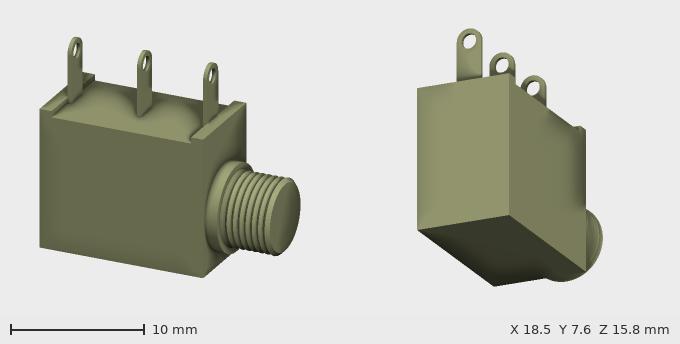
import cadquery as cq

TOTAL_LENGTH = 18.5
HOUSING_LENGTH = 13.5
HOUSING_WIDTH = 7.6
HOUSING_HEIGHT = 11.3
WALL = 1.0
RECESS_DEPTH = 0.5
DECK_Z = HOUSING_HEIGHT - RECESS_DEPTH
INNER_LENGTH = HOUSING_LENGTH - 2 * WALL

AXIS_Z = 4.38
COLLAR_RADIUS = 3.5
THREAD_RADIUS = 3.0
THREAD_DEPTH = 0.3
GROOVE_COUNT = 7
COLLAR_END_X = HOUSING_LENGTH + WALL

TAB_TOP_Z = 15.8
TAB_THICKNESS = 0.31
TAB_RADIUS = 1.0
TAB_HOLE_DIAMETER = 1.2
MIDDLE_TAB_X = 6.73
TAB_POSITIONS = [WALL, MIDDLE_TAB_X, HOUSING_LENGTH - WALL - TAB_THICKNESS]


def box_at(length, width, height, x, y, z):
    """Box given by its size and its lowest corner."""
    return cq.Workplane("XY").box(length, width, height, centered=False).translate((x, y, z))


def make_cover():
    """Flat plate closing the +Y side between the two end rims."""
    return box_at(INNER_LENGTH, WALL, DECK_Z, WALL, HOUSING_WIDTH / 2 - WALL, 0)


def make_bushing():
    """Collar and ring-grooved thread, revolved about the jack axis."""
    root_radius = THREAD_RADIUS - THREAD_DEPTH
    last_crest_x = TOTAL_LENGTH - THREAD_DEPTH
    first_root_x = COLLAR_END_X + THREAD_DEPTH
    last_root_x = last_crest_x - THREAD_DEPTH
    pitch = (last_root_x - first_root_x) / (GROOVE_COUNT - 1)
    inner_crest_radius = root_radius + pitch / 2

    profile = [
        (HOUSING_LENGTH, 0),
        (HOUSING_LENGTH, COLLAR_RADIUS),
        (COLLAR_END_X, COLLAR_RADIUS),
        (COLLAR_END_X, THREAD_RADIUS),
        (first_root_x, root_radius),
    ]
    for groove in range(1, GROOVE_COUNT):
        root_x = first_root_x + groove * pitch
        profile.append((root_x - pitch / 2, inner_crest_radius))
        profile.append((root_x, root_radius))
    profile += [
        (last_crest_x, THREAD_RADIUS),
        (TOTAL_LENGTH, root_radius),
        (TOTAL_LENGTH, 0),
    ]
    bushing = cq.Workplane("XZ").polyline(profile).close().revolve(360, (0, 0, 0), (1, 0, 0))
    return bushing.translate((0, 0, AXIS_Z))


def make_tab(x):
    """Upright solder tab with a round top and a concentric hole."""
    eye_z = TAB_TOP_Z - TAB_RADIUS
    tab = (
        cq.Workplane("YZ", origin=(x, 0, 0))
        .moveTo(-TAB_RADIUS, DECK_Z)
        .lineTo(TAB_RADIUS, DECK_Z)
        .lineTo(TAB_RADIUS, eye_z)
        .threePointArc((0, TAB_TOP_Z), (-TAB_RADIUS, eye_z))
        .close()
        .extrude(TAB_THICKNESS)
    )
    eye = (
        cq.Workplane("YZ", origin=(x, 0, eye_z))
        .circle(TAB_HOLE_DIAMETER / 2)
        .extrude(TAB_THICKNESS)
    )
    return tab.cut(eye)


def make_housing(cover):
    """Block with a recessed deck, a pocket for the cover, the bushing and the tabs."""
    front_y = -HOUSING_WIDTH / 2
    block = box_at(HOUSING_LENGTH, HOUSING_WIDTH, HOUSING_HEIGHT, 0, front_y, 0)
    recess = box_at(INNER_LENGTH, HOUSING_WIDTH, RECESS_DEPTH, WALL, front_y, DECK_Z)
    housing = block.cut(recess).cut(cover).union(make_bushing())
    for x in TAB_POSITIONS:
        housing = housing.union(make_tab(x))
    return housing


cover = make_cover()
housing = make_housing(cover)
result = cq.Compound.makeCompound([housing.val(), cover.val()])